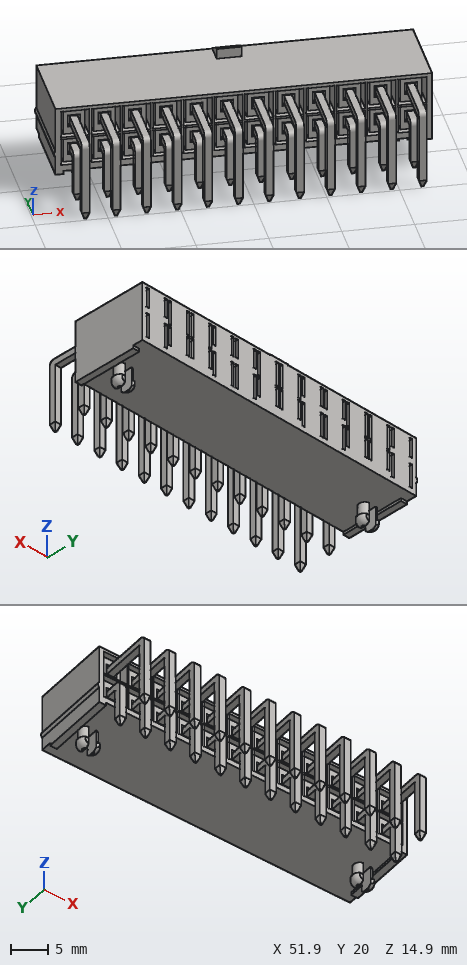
import cadquery as cq


body_width = 51.7
body_depth = 12.8
body_top = 10.0
foot_height = 0.45
foot_width = 1.15
foot_depth = 11.05

columns = 12
pitch = 4.2
cell_size = 3.9
lower_cell_floor = 1.4
lower_row_z = lower_cell_floor + cell_size / 2
upper_row_z = lower_row_z + pitch
block_width = 2.95
block_recess = 0.9
ledge_height = 0.8
ledge_start = body_depth / 2
funnel_size = 1.7
funnel_depth = 0.3

pin_size = 1.1
pin_bottom = -3.4
pin_tip_length = 1.1
pin_tip_size = 0.3
pin_bend_radius = 0.8
upper_pin_reach = 7.15
row_spacing = 5.5
lower_pin_reach = upper_pin_reach - row_spacing

tab_width = 3.4
tab_height = 1.45
tab_length = 3.0
tab_flat = 0.45
tab_back_height = 0.1
rib_height = 0.95
rib_depth = 0.2
rib_z = 3.1

peg_x = 23.05
peg_y = 6.3
peg_thickness = 2.0
peg_radius = peg_thickness / 2
peg_prong_offset = 0.45
peg_slot_width = 1.25
barb_radius = 1.25
barb_top = -1.55
barb_rim = 0.45
peg_bottom = -2.95
peg_tip_radius = 0.45
dome_mid_radius = 1.0
dome_mid_z = -2.6


def box(x_range, y_range, z_range):
    """Box filling the given (low, high) ranges."""
    sizes = [high - low for low, high in (x_range, y_range, z_range)]
    corner = (x_range[0], y_range[0], z_range[0])
    return cq.Workplane("XY").box(*sizes, centered=False).translate(corner)


def centred(middle, size):
    return (middle - size / 2, middle + size / 2)


def make_housing():
    """Outer block standing on one foot at each end."""
    half_width = body_width / 2
    housing = box((-half_width, half_width), (0, body_depth), (foot_height, body_top))
    for low_x in (-half_width, half_width - foot_width):
        housing = housing.union(box((low_x, low_x + foot_width), (0, foot_depth), (0, foot_height)))
    return housing


def make_void(x, z, keyed):
    """Empty space of one cell around its recessed pin block, whose square funnel narrows to the pin."""
    floor_z = z - cell_size / 2
    void = box(centred(x, cell_size), (0, body_depth), centred(z, cell_size))
    void = void.cut(box(centred(x, block_width), (block_recess, body_depth), centred(z, cell_size)))
    if keyed:
        ledge_range = (floor_z, floor_z + ledge_height)
        void = void.cut(box(centred(x, cell_size), (ledge_start, body_depth), ledge_range))
    funnel = (
        cq.Workplane("XZ", origin=(x, block_recess, z))
        .rect(funnel_size, funnel_size)
        .workplane(offset=-funnel_depth)
        .rect(pin_size, pin_size)
        .loft(ruled=True)
    )
    return void.union(funnel)


def make_pin(x, z, reach):
    """Square pin leaving the block along -Y, bent down and pointed at its end."""
    top = z + pin_size / 2
    shaft_bottom = pin_bottom + pin_tip_length
    arm = box(centred(x, pin_size), (-reach, ledge_start), centred(z, pin_size))
    leg = box(centred(x, pin_size), (-reach, pin_size - reach), (shaft_bottom, top))
    bent = arm.union(leg).edges("|X and >Z and <Y").fillet(pin_bend_radius)
    tip = (
        cq.Workplane("XY", origin=(x, pin_size / 2 - reach, shaft_bottom))
        .rect(pin_size, pin_size)
        .workplane(offset=-pin_tip_length)
        .rect(pin_tip_size, pin_tip_size)
        .loft(ruled=True)
    )
    return bent.union(tip)


def make_tab():
    """Latch wedge on the top face, rising from the mating side to a flat crest."""
    front_y = body_depth - tab_length
    crest_z = body_top + tab_height
    return (
        cq.Workplane("YZ", origin=(-tab_width / 2, 0, 0))
        .moveTo(front_y, body_top)
        .lineTo(front_y, crest_z)
        .lineTo(front_y + tab_flat, crest_z)
        .lineTo(body_depth, body_top + tab_back_height)
        .lineTo(body_depth, body_top)
        .close()
        .extrude(tab_width)
    )


def make_rib():
    """Shallow round rib running along the -X side."""
    side_x = -body_width / 2
    low_z, high_z = centred(rib_z, rib_height)
    return (
        cq.Workplane("XZ")
        .moveTo(side_x, low_z)
        .threePointArc((side_x - rib_depth, rib_z), (side_x, high_z))
        .close()
        .extrude(-body_depth)
    )


def make_peg(x):
    """Split peg: two barbed prongs, each turned about its own axis and flattened front and back."""
    profile = (
        cq.Workplane("XZ")
        .moveTo(0, foot_height)
        .lineTo(peg_radius, foot_height)
        .lineTo(peg_radius, barb_top)
        .lineTo(barb_radius, barb_top)
        .lineTo(barb_radius, barb_top - barb_rim)
        .threePointArc((dome_mid_radius, dome_mid_z), (peg_tip_radius, peg_bottom))
        .lineTo(0, peg_bottom)
        .close()
    )
    prong = profile.revolve(360, (0, 0, 0), (0, 1, 0)).translate((peg_prong_offset, 0, 0))
    outer_half = box(
        (peg_slot_width / 2, peg_prong_offset + barb_radius),
        (-peg_radius, peg_radius),
        (peg_bottom, foot_height),
    )
    prong = prong.intersect(outer_half)
    return prong.union(prong.mirror("YZ")).translate((x, peg_y, 0))


voids = []
pins = []
for column in range(columns):
    column_x = (column - (columns - 1) / 2) * pitch
    upper_is_keyed = column % 4 in (0, 3)
    for row_z, reach, keyed in (
        (lower_row_z, lower_pin_reach, not upper_is_keyed),
        (upper_row_z, upper_pin_reach, upper_is_keyed),
    ):
        voids.append(make_void(column_x, row_z, keyed).val())
        pins.append(make_pin(column_x, row_z, reach).val())

housing = make_housing().union(make_tab()).union(make_rib())
for side in (-1, 1):
    housing = housing.union(make_peg(side * peg_x))

result = cq.Workplane(housing.val().cut(*voids).fuse(*pins))